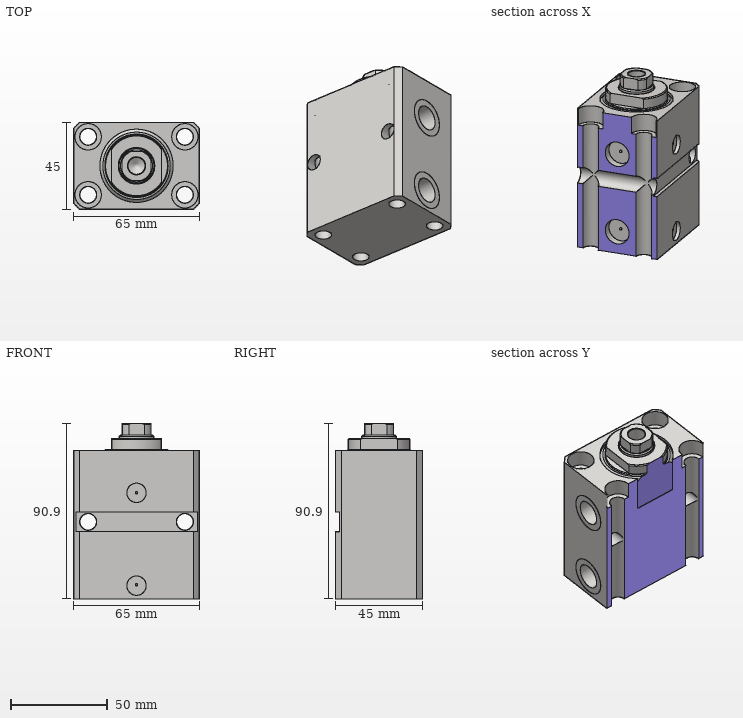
import cadquery as cq
import math

BLOCK_X = 65.0
BLOCK_Y = 45.0
BLOCK_Z = 76.9
CORNER_CHAMFER = 3.1
TOTAL_HEIGHT = 90.9
FRONT_Y = -BLOCK_Y / 2
SIDE_X = -BLOCK_X / 2

BOLT_HOLE_D = 8.5
BOLT_X = 25.0
BOLT_Y = 15.0
COUNTERBORE_D = 13.6
COUNTERBORE_DEPTH = 9.0

KEYWAY_Z = 40.0
KEYWAY_WIDTH = 10.0
KEYWAY_DEPTH = 2.0

RECESS_D = 10.0
RECESS_DEPTH = 2.0
LOWER_RECESS_Z = 7.0
UPPER_RECESS_Z = 55.0
LOWER_PASSAGE_RISE = 0.45

PORT_D = 13.2
PORT_DEPTH = 12.0
PORT_HEIGHTS = (12.0, UPPER_RECESS_Z)
SPOTFACE_D = 20.0
SPOTFACE_DEPTH = 0.1

PASSAGE_D = 1.2
PASSAGE_LENGTH = 2.0

NUT_D = 37.9
NUT_LENGTH = 20.0
NUT_TOP_CHAMFER = 1.5
COLLAR_D = 32.0
COLLAR_FOOT_D = 32.8
COLLAR_FOOT_HEIGHT = 0.5
COLLAR_HEIGHT = 6.3
COLLAR_CHAMFER = 0.5
COLLAR_ACROSS_FLATS = 25.8
ROD_HOLE_CHAMFER = 0.45
SOCKET_FLOOR_Z = BLOCK_Z - NUT_LENGTH
NUT_TOP_Z = BLOCK_Z + COLLAR_HEIGHT

ROD_D = 18.0
ROD_SHOULDER_Z = BLOCK_Z + 7.9
ROD_SHOULDER_CHAMFER = 0.7
ROD_HEAD_D = 17.0
ROD_HEAD_ACROSS_FLATS = 15.0
ROD_HEAD_CHAMFER = 0.5
TAP_HOLE_D = 8.8
TAP_HOLE_CHAMFER = 0.3
TAP_HOLE_DEPTH = 20.0
DRILL_POINT_ANGLE = 118.0


def cylinder(diameter, length, start, direction):
    """Solid cylinder from a start point along a direction."""
    radius = diameter / 2
    return cq.Workplane(obj=cq.Solid.makeCylinder(radius, length, cq.Vector(*start), cq.Vector(*direction)))


def turned(profile):
    """Solid of revolution about Z from (radius, height) points."""
    return cq.Workplane("XZ").polyline(profile).close().revolve(360, (0, 0, 0), (0, 1, 0))


def front_recess(height, passage_height):
    """Flat-bottomed recess in the front face with an oil passage in its floor."""
    recess = cylinder(RECESS_D, RECESS_DEPTH, (0, FRONT_Y, height), (0, 1, 0))
    passage = cylinder(PASSAGE_D, RECESS_DEPTH + PASSAGE_LENGTH, (0, FRONT_Y, passage_height), (0, 1, 0))
    return recess.union(passage)


def side_port(height):
    """Spotfaced port in the side face with an oil passage in its floor."""
    mouth = (SIDE_X, 0, height)
    inward = (1, 0, 0)
    spotface = cylinder(SPOTFACE_D, SPOTFACE_DEPTH, mouth, inward)
    port = cylinder(PORT_D, PORT_DEPTH, mouth, inward)
    passage = cylinder(PASSAGE_D, PORT_DEPTH + PASSAGE_LENGTH, mouth, inward)
    return spotface.union(port).union(passage)


def make_housing():
    block = (
        cq.Workplane("XY")
        .box(BLOCK_X, BLOCK_Y, BLOCK_Z, centered=(True, True, False))
        .edges("|Z")
        .chamfer(CORNER_CHAMFER)
    )

    block = (
        block.faces(">Z")
        .workplane(origin=(0, 0, BLOCK_Z))
        .rect(2 * BOLT_X, 2 * BOLT_Y, forConstruction=True)
        .vertices()
        .cboreHole(BOLT_HOLE_D, COUNTERBORE_D, COUNTERBORE_DEPTH)
    )

    keyway = cq.Workplane("XY").box(BLOCK_X, 2 * KEYWAY_DEPTH, KEYWAY_WIDTH)
    block = block.cut(keyway.translate((0, FRONT_Y, KEYWAY_Z)))

    for x in (-BOLT_X, BOLT_X):
        block = block.cut(cylinder(BOLT_HOLE_D, BLOCK_Y, (x, FRONT_Y, KEYWAY_Z), (0, 1, 0)))

    block = block.cut(front_recess(LOWER_RECESS_Z, LOWER_RECESS_Z + LOWER_PASSAGE_RISE))
    block = block.cut(front_recess(UPPER_RECESS_Z, UPPER_RECESS_Z))

    for height in PORT_HEIGHTS:
        block = block.cut(side_port(height))

    return block.cut(cylinder(NUT_D, NUT_LENGTH, (0, 0, SOCKET_FLOOR_Z), (0, 0, 1)))


def make_gland_nut():
    nut_r = NUT_D / 2
    collar_r = COLLAR_D / 2
    rod_r = ROD_D / 2
    flats_z = BLOCK_Z + COLLAR_FOOT_HEIGHT
    nut = turned([
        (rod_r, SOCKET_FLOOR_Z),
        (nut_r, SOCKET_FLOOR_Z),
        (nut_r, BLOCK_Z - NUT_TOP_CHAMFER),
        (nut_r - NUT_TOP_CHAMFER, BLOCK_Z),
        (COLLAR_FOOT_D / 2, BLOCK_Z),
        (collar_r, flats_z),
        (collar_r, NUT_TOP_Z - COLLAR_CHAMFER),
        (collar_r - COLLAR_CHAMFER, NUT_TOP_Z),
        (rod_r + ROD_HOLE_CHAMFER, NUT_TOP_Z),
        (rod_r, NUT_TOP_Z - ROD_HOLE_CHAMFER),
    ])

    flats_height = NUT_TOP_Z - flats_z
    collar_slab = (
        cq.Workplane("XY")
        .workplane(offset=flats_z)
        .rect(COLLAR_ACROSS_FLATS, COLLAR_FOOT_D)
        .extrude(flats_height)
    )
    whole_collar = cylinder(COLLAR_FOOT_D, flats_height, (0, 0, flats_z), (0, 0, 1))
    return nut.cut(whole_collar.cut(collar_slab))


def make_piston_rod():
    rod_r = ROD_D / 2
    shaft = turned([
        (0, SOCKET_FLOOR_Z),
        (rod_r, SOCKET_FLOOR_Z),
        (rod_r, ROD_SHOULDER_Z - ROD_SHOULDER_CHAMFER),
        (rod_r - ROD_SHOULDER_CHAMFER, ROD_SHOULDER_Z),
        (0, ROD_SHOULDER_Z),
    ])

    head_length = TOTAL_HEIGHT - ROD_SHOULDER_Z
    head_base = cq.Workplane("XY").workplane(offset=ROD_SHOULDER_Z)
    head = head_base.circle(ROD_HEAD_D / 2).extrude(head_length).faces(">Z").chamfer(ROD_HEAD_CHAMFER)
    square = head_base.rect(ROD_HEAD_ACROSS_FLATS, ROD_HEAD_ACROSS_FLATS).extrude(head_length)
    rod = shaft.union(head.intersect(square))

    hole_r = TAP_HOLE_D / 2
    hole_end_z = TOTAL_HEIGHT - TAP_HOLE_DEPTH
    point_length = hole_r / math.tan(math.radians(DRILL_POINT_ANGLE / 2))
    tap_hole = turned([
        (0, hole_end_z - point_length),
        (hole_r, hole_end_z),
        (hole_r, TOTAL_HEIGHT - TAP_HOLE_CHAMFER),
        (hole_r + TAP_HOLE_CHAMFER, TOTAL_HEIGHT),
        (0, TOTAL_HEIGHT),
    ])
    return rod.cut(tap_hole)


housing = make_housing()
gland_nut = make_gland_nut()
piston_rod = make_piston_rod()

result = cq.Compound.makeCompound([
    *housing.solids().vals(),
    *gland_nut.solids().vals(),
    *piston_rod.solids().vals(),
])